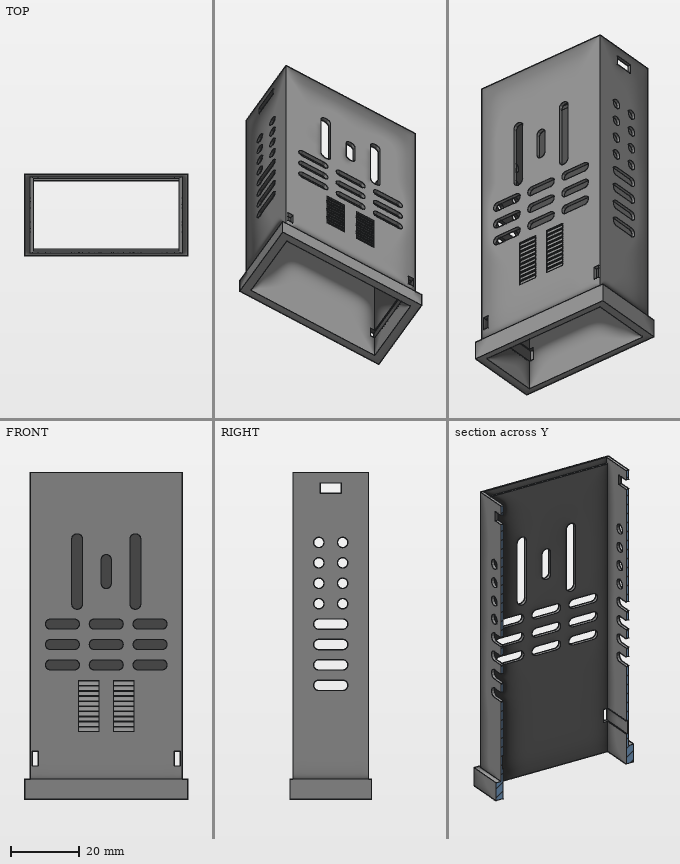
import cadquery as cq

HEIGHT = 96.0
FLANGE_X = 48.0
FLANGE_Y = 24.0
FLANGE_HEIGHT = 6.0
BODY_X = 44.6
BODY_Y = 22.3

SIDE_WALL = 1.0
BROAD_WALL = 1.2
RIM_WALL = 0.5
RIM_DEPTH = 1.9
BORE_X = BODY_X - 2 * SIDE_WALL
BORE_Y = BODY_Y - 2 * BROAD_WALL
RIM_BORE_Y = BODY_Y - 2 * RIM_WALL

VENT_WIDTH = 3.0
VENT_LENGTH = 10.0
TOP_ROW_Z = 75.5
BOTTOM_ROW_Z = 33.5
HOLE_ROWS = 4
SLOT_ROWS = 4
FRONT_SLOT_ROWS = 3
ROW_PITCH = (TOP_ROW_Z - BOTTOM_ROW_Z) / (HOLE_ROWS + SLOT_ROWS - 1)
HOLE_SPACING = VENT_LENGTH - VENT_WIDTH
FRONT_SLOT_PITCH = 12.9

UPRIGHT_ANGLE = 90
UPRIGHT_Z = 66.9
LONG_SLOT_LENGTH = 22.2
LONG_SLOT_WIDTH = 3.3
LONG_SLOT_X = 8.5

GRIP_WIDTH = 6.0
GRIP_X = 5.1
GRIP_TOP_Z = 34.9
GRIP_TEETH = 10
GRIP_HEIGHT = 15.0
TOOTH_PITCH = GRIP_HEIGHT / GRIP_TEETH
TOOTH_DEPTH = 0.44
TOOTH_LAND = 0.2

WINDOW_Z = 91.4
WINDOW_HEIGHT = 3.0
LEFT_WINDOW_WIDTH = 8.0
RIGHT_WINDOW_WIDTH = 6.0

NOTCH_X = 20.8
NOTCH_Z = 12.0
NOTCH_WIDTH = 1.7
NOTCH_HEIGHT = 4.2


def block(size_x, size_y, bottom, top):
    """Box centred on the Z axis between two heights."""
    return cq.Workplane("XY").workplane(offset=bottom).rect(size_x, size_y).extrude(top - bottom)


def housing():
    """Flanged tube with a wider bore at its top rim."""
    flange = block(FLANGE_X, FLANGE_Y, 0, FLANGE_HEIGHT)
    body = block(BODY_X, BODY_Y, 0, HEIGHT)
    bore = block(BORE_X, BORE_Y, 0, HEIGHT)
    rim_bore = block(BORE_X, RIM_BORE_Y, HEIGHT - RIM_DEPTH, HEIGHT)
    return flange.union(body).cut(bore).cut(rim_bore)


def row_z(row):
    """Height of a ventilation row, counted from the top row as 0."""
    return TOP_ROW_Z - row * ROW_PITCH


def front_slots():
    """Slot cutters through the front wall only, starting on the mid-plane of the bore."""
    level_places = [
        (column * FRONT_SLOT_PITCH, row_z(HOLE_ROWS + row))
        for column in (-1, 0, 1)
        for row in range(FRONT_SLOT_ROWS)
    ]
    long_places = [(-LONG_SLOT_X, UPRIGHT_Z), (LONG_SLOT_X, UPRIGHT_Z)]
    level = cq.Workplane("XZ").pushPoints(level_places).slot2D(VENT_LENGTH, VENT_WIDTH)
    short = cq.Workplane("XZ").center(0, UPRIGHT_Z).slot2D(VENT_LENGTH, VENT_WIDTH, UPRIGHT_ANGLE)
    long = cq.Workplane("XZ").pushPoints(long_places)
    long = long.slot2D(LONG_SLOT_LENGTH, LONG_SLOT_WIDTH, UPRIGHT_ANGLE)
    return [slots.extrude(FLANGE_Y) for slots in (level, short, long)]


def side_vents():
    """Hole and slot cutters that pass through both side walls."""
    hole_places = [
        (side * HOLE_SPACING / 2, row_z(row))
        for side in (-1, 1)
        for row in range(HOLE_ROWS)
    ]
    slot_places = [(0, row_z(HOLE_ROWS + row)) for row in range(SLOT_ROWS)]
    holes = cq.Workplane("YZ").pushPoints(hole_places).circle(VENT_WIDTH / 2)
    slots = cq.Workplane("YZ").pushPoints(slot_places).slot2D(VENT_LENGTH, VENT_WIDTH)
    return [vents.extrude(FLANGE_X, both=True) for vents in (holes, slots)]


def grip_tooth(center_x, top_z):
    """Cutter for one tooth: a short upright land at the root above a slope back out to the face."""
    face_y = -BODY_Y / 2
    root_y = face_y + TOOTH_DEPTH
    profile = [
        (face_y, top_z),
        (root_y, top_z),
        (root_y, top_z - TOOTH_LAND),
        (face_y, top_z - TOOTH_PITCH),
    ]
    plane = cq.Workplane("YZ").workplane(offset=center_x - GRIP_WIDTH / 2)
    return plane.polyline(profile).close().extrude(GRIP_WIDTH)


def window(side, width):
    """Rectangular latch opening through one side wall."""
    plane = cq.Workplane("YZ").center(0, WINDOW_Z)
    return plane.rect(width, WINDOW_HEIGHT).extrude(side * FLANGE_X)


def notches():
    """Narrow openings through the front and back walls beside the side walls."""
    places = [(-NOTCH_X, NOTCH_Z), (NOTCH_X, NOTCH_Z)]
    return cq.Workplane("XZ").pushPoints(places).rect(NOTCH_WIDTH, NOTCH_HEIGHT).extrude(FLANGE_Y, both=True)


part = housing()
for cutter in [*front_slots(), *side_vents(), notches()]:
    part = part.cut(cutter)
part = part.cut(window(-1, LEFT_WINDOW_WIDTH)).cut(window(1, RIGHT_WINDOW_WIDTH))
for grip_x in (-GRIP_X, GRIP_X):
    for tooth in range(GRIP_TEETH):
        part = part.cut(grip_tooth(grip_x, GRIP_TOP_Z - tooth * TOOTH_PITCH))

result = part